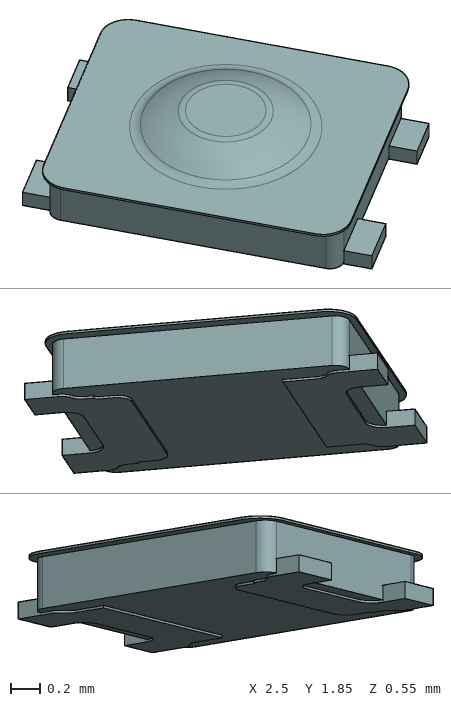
import cadquery as cq
import math


total_length = 2.5
total_height = 0.55

cover_length = 2.2
cover_width = 1.85
cover_corner_radius = 0.2
cover_thickness = 0.018
dome_height = 0.15
dome_sphere_radius = 1.125
dome_base_radius = 0.662
dome_skirt_radius = 0.588
dome_shoulder_radius = 0.328
dome_flat_radius = 0.278

housing_length = 2.1
housing_width = 1.66
housing_corner_radius = 0.1
housing_bottom = 0.018

terminal_thickness = 0.12
front_foot_width = 0.355
rear_foot_width = 0.305
notch_fillet = 0.12
side_step_length = 0.168
side_step_depth = 0.085
left_step_start = 0.965
left_inner_end = 0.56
right_step_start = 1.012
right_shoulder = 0.778
right_inner_end = 0.54
right_shoulder_fillet = 0.025
right_end_radius = 0.105

cover_top = total_height - dome_height
cover_bottom = cover_top - cover_thickness
foot_end = total_length / 2
foot_side = housing_width / 2 - housing_corner_radius
plate_side = foot_side - side_step_depth
notch_end = housing_length / 2 - notch_fillet


def rounded_plate(length, width, corner_radius, bottom, top):
    """Rectangular plate with rounded upright corners, centred on Z."""
    plate = cq.Workplane("XY").workplane(offset=bottom).rect(length, width).extrude(top - bottom)
    return plate.edges("|Z").fillet(corner_radius)


def make_cover():
    """Thin sheet with a spherical dome that blends smoothly into flat areas."""
    skirt_angle = math.asin(dome_skirt_radius / dome_sphere_radius)
    shoulder_angle = math.asin(dome_shoulder_radius / dome_sphere_radius)
    lower_blend = (dome_base_radius - dome_skirt_radius) / math.sin(skirt_angle)
    upper_blend = (dome_shoulder_radius - dome_flat_radius) / math.sin(shoulder_angle)
    skirt_z = cover_top + lower_blend * (1 - math.cos(skirt_angle))
    shoulder_z = total_height - upper_blend * (1 - math.cos(shoulder_angle))

    dome = (
        cq.Workplane("XZ")
        .moveTo(0, cover_bottom)
        .lineTo(dome_base_radius, cover_bottom)
        .lineTo(dome_base_radius, cover_top)
        .radiusArc((dome_skirt_radius, skirt_z), lower_blend)
        .radiusArc((dome_shoulder_radius, shoulder_z), -dome_sphere_radius)
        .radiusArc((dome_flat_radius, total_height), -upper_blend)
        .lineTo(0, total_height)
        .close()
        .revolve(360, (0, 0, 0), (0, 1, 0))
    )
    sheet = rounded_plate(cover_length, cover_width, cover_corner_radius, cover_bottom, cover_top)
    return sheet.union(dome)


def start_half_outline(step_start):
    """Front edge of a terminal on the +X side: foot edge, then the S-shaped step inward."""
    step_slope = 2 * math.atan(side_step_depth / side_step_length)
    return (
        cq.Workplane("XY")
        .moveTo(foot_end, 0)
        .lineTo(foot_end, -foot_side)
        .lineTo(step_start, -foot_side)
        .spline(
            [
                (step_start - side_step_length / 2, -(foot_side + plate_side) / 2),
                (step_start - side_step_length, -plate_side),
            ],
            tangents=[(-1, 0), (-math.cos(step_slope), math.sin(step_slope)), (-1, 0)],
            includeCurrent=True,
        )
    )


def finish_terminal(half_outline):
    """Close the half outline along the X axis, mirror it and cut the notch between the feet."""
    half = half_outline.close().extrude(terminal_thickness)
    plate = half.union(half.mirror("XZ"))
    notch_front = -foot_side + front_foot_width
    notch_rear = foot_side - rear_foot_width
    notch = (
        cq.Workplane("XY")
        .moveTo((foot_end + notch_end) / 2, (notch_front + notch_rear) / 2)
        .rect(foot_end - notch_end, notch_rear - notch_front)
        .extrude(terminal_thickness)
        .edges("|Z and <X")
        .fillet(notch_fillet)
    )
    return plate.cut(notch)


def make_left_terminal():
    """Terminal on the -X side, with a square inner end."""
    outline = (
        start_half_outline(left_step_start)
        .lineTo(left_inner_end, -plate_side)
        .lineTo(left_inner_end, 0)
    )
    return finish_terminal(outline).mirror("YZ")


def make_right_terminal():
    """Terminal on the +X side, narrowed by a filleted shoulder and with a rounded inner end."""
    end_side = plate_side - right_shoulder_fillet
    outline = (
        start_half_outline(right_step_start)
        .lineTo(right_shoulder, -plate_side)
        .radiusArc((right_shoulder - right_shoulder_fillet, -end_side), -right_shoulder_fillet)
        .lineTo(right_inner_end + right_end_radius, -end_side)
        .radiusArc((right_inner_end, -end_side + right_end_radius), right_end_radius)
        .lineTo(right_inner_end, 0)
    )
    return finish_terminal(outline)


def make_housing(terminals):
    """Rounded block with recesses that match the embedded terminals."""
    housing = rounded_plate(
        housing_length, housing_width, housing_corner_radius, housing_bottom, cover_bottom
    )
    for terminal in terminals:
        housing = housing.cut(terminal)
    return housing


left_terminal = make_left_terminal()
right_terminal = make_right_terminal()
housing = make_housing([left_terminal, right_terminal])
cover = make_cover()

result = cq.Compound.makeCompound(
    [
        housing.solids().val(),
        left_terminal.solids().val(),
        right_terminal.solids().val(),
        cover.solids().val(),
    ]
)